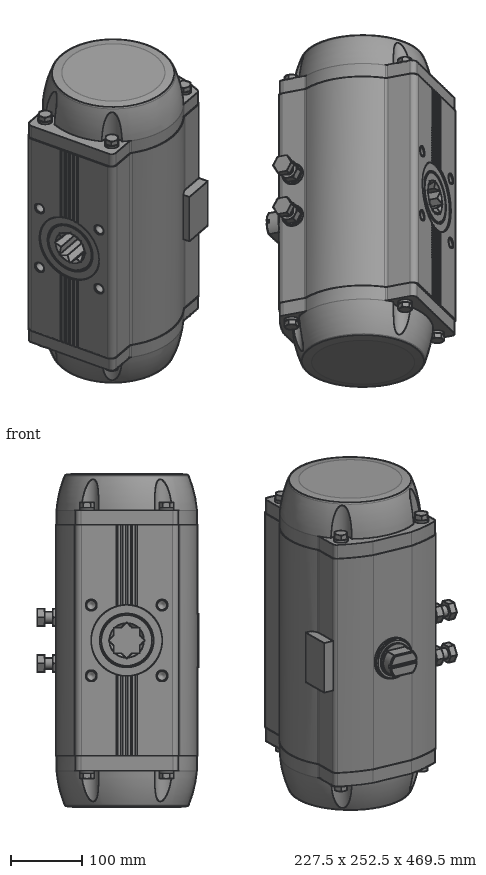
import cadquery as cq
import math


total_height = 469.5
housing_height = 325.0
flange_thickness = 20.5
cylinder_radius = 100.0
foot_half_width = 73.3
foot_face_y = -113.5
foot_corner_radius = 9.5
shoulder_half_width = 86.5
shoulder_face_y = 109.0
shoulder_corner_radius = 7.0
crown_radius = 188.0
crown_peak_y = 111.8
housing_blend_radius = 7.0
cap_blend_radius = 4.0
cap_inset = 1.0
cap_foot_inset = 2.0

groove_count = 5
groove_diameter = 2.5
groove_pitch = 6.8
recess_diameter = 100.0
recess_depth = 2.5
mount_hole_offset = 50.0
mount_hole_diameter = 13.5
mount_hole_depth = 23.5
mount_mouth_diameter = 16.0
mount_tip_angle = 118.0
port_face_x = 101.5
port_center_y = 65.0
port_width = 48.0
port_height = 75.0

dome_base_radius = cylinder_radius - cap_inset
dome_mid_radius = 95.0
dome_mid_height = 25.5
dome_rim_radius = 87.5
dome_rim_drop = 3.5
dome_bevel_radius = 86.0
dome_bevel_drop = 1.5
dome_top_diameter = 145.0

cap_bolt_places = [(67.5, 80.0), (56.0, -89.5)]
pocket_diameter = 33.0
washer_diameter = 20.0
washer_thickness = 3.8
bolt_head_corners = 20.0
bolt_head_thickness = 7.5
bolt_head_top_diameter = 18.0
hex_chamfer_angle = 30.0

journal_diameter = 71.5
journal_top_y = 0.0
spindle_diameter = 48.0
bore_chamfer = 2.5
collar_diameter = 60.0
collar_thickness = 6.0
collar_chamfer = 2.0
hub_thickness = 3.0
tang_diameter = 45.0
tang_width = 33.0
tang_end_y = 139.0
tang_root_height = 2.5
tang_chamfer = 1.5
slot_width = 4.15
slot_depth = 4.5
socket_square = 36.0
socket_depth = 56.5
socket_mouth_diameter = 49.0

stop_y = 68.5
stop_z = 32.5
stop_tip_x = -126.0
stop_hex_corners = 28.0
stop_head_thickness = 10.5
stop_shank_diameter = 16.0
stop_hole_depth = 23.5
nut_face_x = -104.3
nut_thickness = 12.5
nut_chamfer_diameter = 25.0
stop_washer_diameter = 30.0

joint_z = housing_height / 2
flange_top_z = joint_z + flange_thickness
dome_top_z = total_height / 2
dome_rim_z = dome_top_z - dome_rim_drop
recess_floor_y = foot_face_y + recess_depth
housing_side_x = -shoulder_half_width


def hex_prism(corners_diameter, thickness):
    return cq.Workplane("XY").polygon(6, corners_diameter).extrude(thickness)


def y_cylinder(diameter, start_y, end_y):
    """Cylinder on the Y axis between two Y positions."""
    return cq.Workplane("XZ", origin=(0, start_y, 0)).circle(diameter / 2).extrude(start_y - end_y)


def hex_with_rounded_corners(corners_diameter, thickness, end_diameter):
    """Hexagon whose corners are cut by a shallow cone down to end_diameter on its top end."""
    slope = math.tan(math.radians(hex_chamfer_angle))
    cone_base_radius = end_diameter / 2 + thickness / slope
    envelope = (
        cq.Workplane("XZ")
        .polyline([(0, 0), (cone_base_radius, 0), (end_diameter / 2, thickness), (0, thickness)])
        .close()
        .revolve(360, (0, 0, 0), (0, 1, 0))
    )
    return hex_prism(corners_diameter, thickness).intersect(envelope)


def outline_prism(inset, foot_inset, blend_radius, bottom_z, height):
    """Cylinder with the foot block on -Y and the crowned shoulder block on +Y."""
    radius = cylinder_radius - inset
    foot_x = foot_half_width - inset
    foot_y = foot_face_y + foot_inset
    shoulder_x = shoulder_half_width - inset
    shoulder_y = shoulder_face_y - inset
    crown_r = crown_radius - inset
    crown_center_y = crown_peak_y - crown_radius
    mid_z = bottom_z + height / 2

    base = cq.Workplane("XY", origin=(0, 0, bottom_z))
    foot = (
        base.center(0, foot_y / 2).rect(2 * foot_x, -foot_y).extrude(height)
        .edges("|Z and <Y").fillet(foot_corner_radius - foot_inset)
    )
    crown = base.center(0, crown_center_y).circle(crown_r).extrude(height)
    shoulder = base.center(0, shoulder_y / 2).rect(2 * shoulder_x, shoulder_y).extrude(height)
    shoulder = shoulder.intersect(crown)
    corner_y = crown_center_y + math.sqrt(crown_r**2 - shoulder_x**2)
    for side in (-1, 1):
        corner = cq.selectors.NearestToPointSelector((side * shoulder_x, corner_y, mid_z))
        shoulder = shoulder.edges("|Z").edges(corner).fillet(shoulder_corner_radius)

    prism = base.circle(radius).extrude(height).union(foot).union(shoulder)
    junctions = [
        (foot_x, -math.sqrt(radius**2 - foot_x**2)),
        (shoulder_x, math.sqrt(radius**2 - shoulder_x**2)),
    ]
    for x, y in junctions:
        for side in (-1, 1):
            junction = cq.selectors.NearestToPointSelector((side * x, y, mid_z))
            prism = prism.edges("|Z").edges(junction).fillet(blend_radius)
    return prism


def port_plate():
    """Flat connection pad on the +X side, rooted in the cylinder."""
    plate = cq.Workplane("XY").box(port_face_x, port_width, port_height, centered=(False, True, True))
    return plate.translate((0, port_center_y, 0))


def face_grooves():
    """Round-bottomed grooves running the full height of the foot face."""
    first_x = -groove_pitch * (groove_count - 1) / 2
    places = [(first_x + i * groove_pitch, foot_face_y) for i in range(groove_count)]
    return (
        cq.Workplane("XY", origin=(0, 0, -joint_z))
        .pushPoints(places).circle(groove_diameter / 2).extrude(housing_height)
    )


def mount_holes():
    """Blind holes with a conical bottom and a countersunk mouth, entering from -Y."""
    hole_r = mount_hole_diameter / 2
    mouth_r = mount_mouth_diameter / 2
    tip = hole_r / math.tan(math.radians(mount_tip_angle / 2))
    profile = [
        (0, 0),
        (mouth_r, 0),
        (hole_r, mouth_r - hole_r),
        (hole_r, mount_hole_depth),
        (0, mount_hole_depth + tip),
    ]
    hole = cq.Workplane("XY").polyline(profile).close().revolve(360, (0, 0, 0), (0, 1, 0))
    holes = cq.Workplane("XY")
    for x in (-mount_hole_offset, mount_hole_offset):
        for z in (-mount_hole_offset, mount_hole_offset):
            holes = holes.add(hole.translate((x, foot_face_y, z)))
    return holes.combine()


def shaft_bore():
    """Stepped through bore along Y, chamfered at the recess floor."""
    journal_r = journal_diameter / 2
    spindle_r = spindle_diameter / 2
    profile = [
        (0, recess_floor_y),
        (journal_r + bore_chamfer, recess_floor_y),
        (journal_r, recess_floor_y + bore_chamfer),
        (journal_r, journal_top_y),
        (spindle_r, journal_top_y),
        (spindle_r, shoulder_face_y),
        (0, shoulder_face_y),
    ]
    return cq.Workplane("XY").polyline(profile).close().revolve(360, (0, 0, 0), (0, 1, 0))


def stop_holes():
    holes = cq.Workplane("YZ", origin=(housing_side_x, 0, 0))
    holes = holes.pushPoints([(stop_y, -stop_z), (stop_y, stop_z)])
    return holes.circle(stop_shank_diameter / 2).extrude(stop_hole_depth)


def make_housing():
    housing = outline_prism(0, 0, housing_blend_radius, -joint_z, housing_height).union(port_plate())
    housing = housing.cut(face_grooves()).cut(y_cylinder(recess_diameter, foot_face_y, recess_floor_y))
    return housing.cut(mount_holes()).cut(shaft_bore()).cut(stop_holes())


def dome():
    return (
        cq.Workplane("XZ")
        .moveTo(0, flange_top_z)
        .lineTo(dome_base_radius, flange_top_z)
        .threePointArc((dome_mid_radius, flange_top_z + dome_mid_height), (dome_rim_radius, dome_rim_z))
        .lineTo(dome_bevel_radius, dome_top_z - dome_bevel_drop)
        .lineTo(dome_top_diameter / 2, dome_top_z)
        .lineTo(0, dome_top_z)
        .close()
        .revolve(360, (0, 0, 0), (0, 1, 0))
    )


def bolt_pocket(x, y):
    """Round clearance around one bolt."""
    pocket = cq.Workplane("XY", origin=(x, y, flange_top_z)).circle(pocket_diameter / 2)
    return pocket.extrude(dome_top_z - flange_top_z)


def cap_bolt(x, y):
    washer = cq.Workplane("XY").circle(washer_diameter / 2).extrude(washer_thickness)
    head = hex_with_rounded_corners(bolt_head_corners, bolt_head_thickness, bolt_head_top_diameter)
    return washer.union(head.translate((0, 0, washer_thickness))).translate((x, y, flange_top_z))


def make_top_cap():
    cap = outline_prism(cap_inset, cap_foot_inset, cap_blend_radius, joint_z, flange_thickness)
    places = [(side * x, y) for x, y in cap_bolt_places for side in (-1, 1)]
    cap_dome = dome()
    for x, y in places:
        cap_dome = cap_dome.cut(bolt_pocket(x, y))
    cap = cap.union(cap_dome)
    for x, y in places:
        cap = cap.union(cap_bolt(x, y))
    return cap


def star_socket():
    """Eight-pointed socket made of two squares, with a conical mouth."""
    start = cq.Workplane("XZ", origin=(0, recess_floor_y, 0))
    square = start.rect(socket_square, socket_square).extrude(-socket_depth)
    mouth_depth = (socket_mouth_diameter - socket_square) / 2
    mouth = cq.Workplane(
        cq.Solid.makeCone(
            socket_mouth_diameter / 2, socket_square / 2, mouth_depth,
            pnt=cq.Vector(0, recess_floor_y, 0), dir=cq.Vector(0, 1, 0),
        )
    )
    return square.union(square.rotate((0, 0, 0), (0, 1, 0), 45)).union(mouth)


def make_shaft():
    collar_top_y = shoulder_face_y + collar_thickness
    hub_top_y = collar_top_y + hub_thickness
    journal = y_cylinder(journal_diameter, recess_floor_y, journal_top_y)
    spindle = y_cylinder(spindle_diameter, journal_top_y, hub_top_y)
    collar = y_cylinder(collar_diameter, shoulder_face_y, collar_top_y).faces(">Y").chamfer(collar_chamfer)
    tang_root = cq.Workplane(
        cq.Solid.makeCone(
            spindle_diameter / 2, tang_diameter / 2, tang_root_height,
            pnt=cq.Vector(0, hub_top_y, 0), dir=cq.Vector(0, 1, 0),
        )
    )
    tang = y_cylinder(tang_diameter, hub_top_y, tang_end_y).union(tang_root)
    flats = cq.Workplane("XY", origin=(0, tang_end_y, 0)).box(spindle_diameter, tang_end_y, tang_width)
    tang = tang.intersect(flats).faces(">Y").chamfer(tang_chamfer)
    slot = cq.Workplane("XY", origin=(0, tang_end_y, 0)).box(tang_diameter, 2 * slot_depth, slot_width)
    return journal.union(spindle).union(collar).union(tang.cut(slot)).cut(star_socket())


def place_stop_part(part, base_x, z):
    turned = part.rotate((0, 0, 0), (0, 0, 1), 90).rotate((0, 0, 0), (0, 1, 0), -90)
    return turned.translate((base_x, stop_y, z))


def make_stop_screw(z):
    hole_end_x = housing_side_x + stop_hole_depth
    shank_length = hole_end_x - stop_tip_x - stop_head_thickness
    shank = cq.Workplane("XY").circle(stop_shank_diameter / 2).extrude(shank_length)
    head = hex_prism(stop_hex_corners, stop_head_thickness).translate((0, 0, shank_length))
    return place_stop_part(shank.union(head), hole_end_x, z)


def make_stop_nut(z):
    washer_height = housing_side_x - nut_face_x - nut_thickness
    washer = cq.Workplane("XY").circle(stop_washer_diameter / 2).extrude(washer_height)
    nut = hex_with_rounded_corners(stop_hex_corners, nut_thickness, nut_chamfer_diameter)
    nut = washer.union(nut.translate((0, 0, washer_height)))
    bore = cq.Workplane("XY").circle(stop_shank_diameter / 2).extrude(washer_height + nut_thickness)
    return place_stop_part(nut.cut(bore), housing_side_x, z)


housing = make_housing()
top_cap = make_top_cap()
bottom_cap = top_cap.mirror("XY")
shaft = make_shaft()
stop_screws = [make_stop_screw(z) for z in (-stop_z, stop_z)]
stop_nuts = [make_stop_nut(z) for z in (-stop_z, stop_z)]

result = cq.Compound.makeCompound(
    [housing.val(), top_cap.val(), bottom_cap.val(), shaft.val()]
    + [screw.val() for screw in stop_screws]
    + [nut.val() for nut in stop_nuts]
)